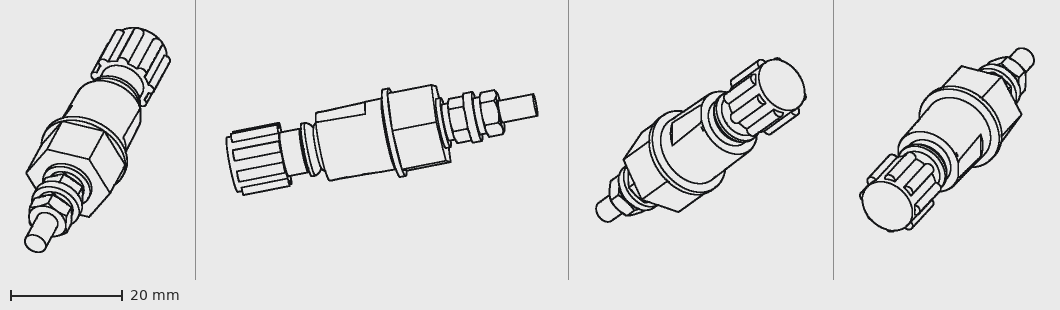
import cadquery as cq
import math

LENGTH = 55.5

PIN_RADIUS = 2.0
END_NUT_START = 6.4
END_NUT_END = 9.45
MID_WASHER_START = 10.65
MID_WASHER_END = 12.25
MID_NUT_END = 15.25
FACE_WASHER_START = 16.45
SPRING_WASHER_RADIUS = 3.35
WASHER_RADIUS = 4.5

NUT_CORNER_RADIUS = 4.05
NUT_INSCRIBED_RADIUS = NUT_CORNER_RADIUS * math.cos(math.radians(30))
NUT_CHAMFER = 0.2
END_NUT_TIP_CHAMFER = 0.4

SPLIT_WIDTH = 0.3
SPLIT_ANGLE = 40

BODY_HEX_START = 17.25
BODY_HEX_END = 25.3
BODY_RADIUS = 8.0
FLANGE_END = 26.35

SLEEVE_GROOVE_RADIUS = 5.0
SLEEVE_START = 26.8
SLEEVE_END = 38.9
SLEEVE_BASE_RADIUS = 6.5
SLEEVE_TOP_RADIUS = 6.25
SLEEVE_EDGE_LENGTH = 0.4
SLEEVE_EDGE_DEPTH = 0.1
FLAT_HALF_SPACING = 6.0
FLAT_START = 29.8

SEAL_BULGE_RADIUS = 4.5
SEAL_BULGE_RISE = 0.3
SEAL_WAIST_RADIUS = 3.55
SEAL_WAIST_Y = 39.9
COLLAR_RADIUS = 4.85
COLLAR_RISE = 0.2
COLLAR_START = 41.25
COLLAR_END = 41.9

NECK_START = 42.35
NECK_RADIUS = 4.0
NECK_GROOVE_RADIUS = 3.35
KNOB_START = 45.95
KNOB_RADIUS = 5.0
RIB_END = 54.45
RIB_RADIUS = 1.0
RIB_COUNT = 8


def cylinder(radius, start, end):
    """Cylinder on the Y axis between two Y positions."""
    return cq.Workplane("XZ", origin=(0, start, 0)).circle(radius).extrude(start - end)


def hexagon(corner_radius, start, end, first_corner_angle):
    """Hexagonal prism on the Y axis."""
    prism = cq.Workplane("XZ", origin=(0, start, 0)).polygon(6, 2 * corner_radius).extrude(start - end)
    return prism.rotate((0, 0, 0), (0, 1, 0), first_corner_angle)


def revolve_profile(profile):
    """Turn a closed (radius, Y) outline about the Y axis."""
    return profile.close().revolve(360, (0, 0, 0), (0, 1, 0))


def nut(start, end, start_chamfer, end_chamfer):
    """Small nut whose corners are trimmed by a cone at each end."""
    trim_profile = (
        cq.Workplane("XY")
        .moveTo(0, start)
        .lineTo(NUT_INSCRIBED_RADIUS, start)
        .lineTo(NUT_CORNER_RADIUS, start + start_chamfer)
        .lineTo(NUT_CORNER_RADIUS, end - end_chamfer)
        .lineTo(NUT_INSCRIBED_RADIUS, end)
        .lineTo(0, end)
    )
    return hexagon(NUT_CORNER_RADIUS, start, end, 30).intersect(revolve_profile(trim_profile))


def spring_washer(start, end):
    """Split ring; the slanted split opens toward +Z and stops at the pin."""
    ring = cylinder(SPRING_WASHER_RADIUS, start, end)
    split_length = 3 * (end - start)
    split_depth = SPRING_WASHER_RADIUS
    split = (
        cq.Workplane("XY")
        .box(SPLIT_WIDTH, split_length, split_depth, centered=(True, True, False))
        .rotate((0, 0, 0), (0, 0, 1), SPLIT_ANGLE)
        .translate((0, (start + end) / 2, PIN_RADIUS))
    )
    return ring.cut(split)


def lower_stack():
    """Pin, nuts and washers below the body hexagon."""
    return (
        cylinder(PIN_RADIUS, 0, BODY_HEX_START)
        .union(nut(END_NUT_START, END_NUT_END, END_NUT_TIP_CHAMFER, NUT_CHAMFER))
        .union(spring_washer(END_NUT_END, MID_WASHER_START))
        .union(cylinder(WASHER_RADIUS, MID_WASHER_START, MID_WASHER_END))
        .union(nut(MID_WASHER_END, MID_NUT_END, NUT_CHAMFER, NUT_CHAMFER))
        .union(spring_washer(MID_NUT_END, FACE_WASHER_START))
        .union(cylinder(WASHER_RADIUS, FACE_WASHER_START, BODY_HEX_START))
    )


def body():
    """Large hexagon, its round flange and the groove under the sleeve."""
    return (
        hexagon(BODY_RADIUS, BODY_HEX_START, BODY_HEX_END, 0)
        .union(cylinder(BODY_RADIUS, BODY_HEX_END, FLANGE_END))
        .union(cylinder(SLEEVE_GROOVE_RADIUS, FLANGE_END, SLEEVE_START))
    )


def sleeve():
    """Tapered sleeve, softened at its upper edge, with a flat on each X side."""
    cone = revolve_profile(
        cq.Workplane("XY")
        .moveTo(0, SLEEVE_START)
        .lineTo(SLEEVE_BASE_RADIUS, SLEEVE_START)
        .lineTo(SLEEVE_TOP_RADIUS, SLEEVE_END - SLEEVE_EDGE_LENGTH)
        .lineTo(SLEEVE_TOP_RADIUS - SLEEVE_EDGE_DEPTH, SLEEVE_END)
        .lineTo(0, SLEEVE_END)
    )
    flat_length = SLEEVE_END - FLAT_START
    for side in (1, -1):
        flat_cut = cq.Workplane("XY").box(
            SLEEVE_BASE_RADIUS - FLAT_HALF_SPACING, flat_length, 2 * SLEEVE_BASE_RADIUS
        )
        flat_center = side * (SLEEVE_BASE_RADIUS + FLAT_HALF_SPACING) / 2
        cone = cone.cut(flat_cut.translate((flat_center, FLAT_START + flat_length / 2, 0)))
    return cone


def seal():
    """Two convex rings meeting at a sharp waist, topped by a short collar."""
    waist = (SEAL_WAIST_RADIUS, SEAL_WAIST_Y)
    bulge_rim = (SEAL_BULGE_RADIUS, SLEEVE_END)
    collar_rim = (COLLAR_RADIUS, COLLAR_START)
    return revolve_profile(
        cq.Workplane("XY")
        .moveTo(0, SLEEVE_END)
        .lineTo(*bulge_rim)
        .sagittaArc(waist, -SEAL_BULGE_RISE)
        .sagittaArc(collar_rim, -COLLAR_RISE)
        .lineTo(COLLAR_RADIUS, COLLAR_END)
        .lineTo(0, COLLAR_END)
    )


def knob():
    """Grooved neck and round knob with half-round grip ribs."""
    grip = (
        cylinder(NECK_GROOVE_RADIUS, COLLAR_END, NECK_START)
        .union(cylinder(NECK_RADIUS, NECK_START, KNOB_START))
        .union(cylinder(KNOB_RADIUS, KNOB_START, LENGTH))
    )
    rib = cylinder(RIB_RADIUS, KNOB_START, RIB_END).translate((KNOB_RADIUS, 0, 0))
    for index in range(RIB_COUNT):
        grip = grip.union(rib.rotate((0, 0, 0), (0, 1, 0), index * 360 / RIB_COUNT))
    return grip


result = lower_stack().union(body()).union(sleeve()).union(seal()).union(knob())